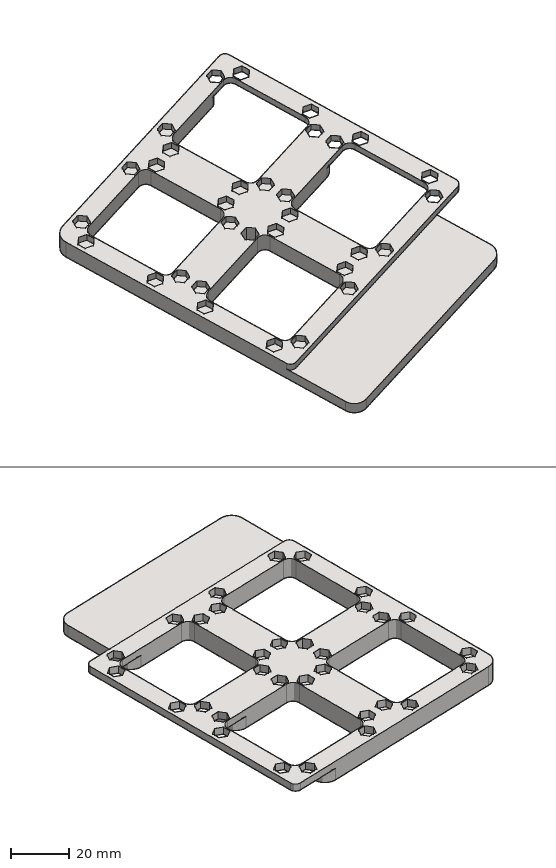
import cadquery as cq

total_length = 127.6
frame_side = 100.0
slab_width = 85.5
slab_height = 5.0
frame_height = 3.0
slab_corner_radius = 5.1
frame_corner_radius = 2.4
narrow_finger_radius = 2.2

window_side = 35.2
window_corner_radius = 3.0

hex_flats = 5.4
hex_offset_across = 20.8
hex_offset_along = 14.5
through_hex_window = (1, -1)
through_hex_offset = (-hex_offset_across, hex_offset_along)

total_height = slab_height + frame_height
window_pitch = frame_side / 2
hex_diameter = hex_flats * 2 / 3**0.5
signs = (-1, 1)
quarters = [(column, row) for column in signs for row in signs]


def window_center(quarter):
    """Centre of the window in a quarter given by its X and Y signs."""
    column, row = quarter
    return (column * window_pitch / 2, row * window_pitch / 2)


def make_windows():
    """Cutters for the four rounded windows, through the full height."""
    return (
        cq.Workplane("XY")
        .pushPoints([window_center(quarter) for quarter in quarters])
        .rect(window_side, window_side)
        .extrude(total_height)
        .edges("|Z")
        .fillet(window_corner_radius)
    )


def make_slab():
    """Lower slab; the +Y windows open through its edge and leave rounded fingers."""
    slab = (
        cq.Workplane("XY", origin=(-frame_side / 2, -frame_side / 2, 0))
        .box(total_length, slab_width, slab_height, centered=False)
        .edges("|Z and <Y")
        .fillet(slab_corner_radius)
        .cut(make_windows())
    )
    slab = slab.edges("|Z").edges(">Y").edges("not >>X[1]").fillet(slab_corner_radius)
    return slab.edges("|Z").edges(">Y").edges(">>X[1]").fillet(narrow_finger_radius)


def make_frame():
    """Square upper frame; its (-X, -Y) corner follows the slab below."""
    return (
        cq.Workplane("XY", origin=(0, 0, slab_height))
        .rect(frame_side, frame_side)
        .extrude(frame_height)
        .edges("|Z and (>X or >Y)")
        .fillet(frame_corner_radius)
        .edges("|Z")
        .edges("<XY")
        .fillet(slab_corner_radius)
        .cut(make_windows())
    )


def make_hex(center, turn, bottom):
    """Hexagonal cutter from the given level up to the top face."""
    return (
        cq.Workplane("XY")
        .polygon(6, hex_diameter)
        .extrude(total_height - bottom)
        .rotate((0, 0, 0), (0, 0, 1), turn)
        .translate((*center, bottom))
    )


def make_window_hexes(quarter):
    """Cutters for the eight hexagons around one window, flats facing the window."""
    center_x, center_y = window_center(quarter)
    hexes = cq.Workplane("XY")
    for side_x, side_y in quarters:
        beside_x = (side_x * hex_offset_across, side_y * hex_offset_along)
        beside_y = (side_x * hex_offset_along, side_y * hex_offset_across)
        for offset, turn in ((beside_x, 30), (beside_y, 0)):
            is_through = quarter == through_hex_window and offset == through_hex_offset
            bottom = 0 if is_through else slab_height
            center = (center_x + offset[0], center_y + offset[1])
            hexes = hexes.add(make_hex(center, turn, bottom))
    return hexes.combine()


result = make_slab().union(make_frame())
for quarter in quarters:
    result = result.cut(make_window_hexes(quarter))